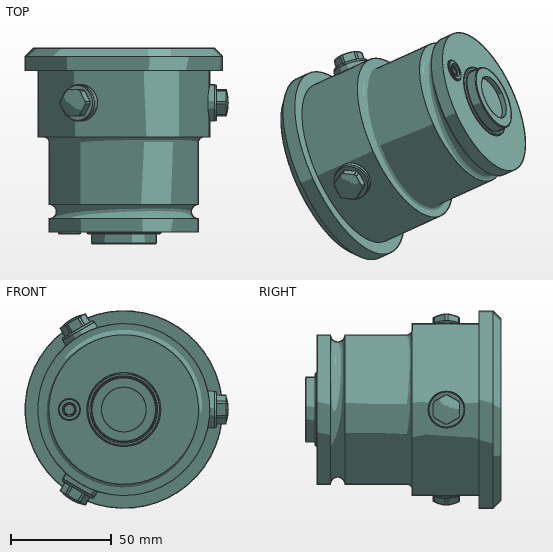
import cadquery as cq
import math


flange_radius = 48.9
flange_depth = 11.1
flange_chamfer = 4.0
shoulder_radius = 42.6
shoulder_depth = 44.1
body_radius = 37.1
neck_fillet = 2.4
groove_start = 77.4
groove_radius = 3.5
nose_depth = 91.1

boss_radius = 16.1
boss_depth = 97.0
boss_chamfer = 0.4
recess_radius = 11.1
recess_depth = 2.5
ring_outer_radius = 18.3
ring_height = 1.0
ring_outer_chamfer = 0.6
ring_inner_chamfer = 0.6

pin_radius = 4.98
pin_offset = 19.1
pin_length = 5.0

bush_x = -27.0
bush_radius = 5.4
bush_height = 1.0
bush_chamfer = 0.4
bush_bore_radius = 2.5
bush_bore_depth = 3.0
bush_mouth_radius = 2.8
bush_mouth_depth = 1.2
bush_countersink = 0.6

plug_depth = 27.1
plug_angles = (0, 120, 240)
plug_root = 35.2
collar_radius = 9.1
collar_seat_radius = 8.7
collar_edge_end = 44.8
collar_end = 45.9
hex_across_flats = 13.1
hex_corner_radius = 7.2
hex_end = 50.6
plug_tip = 51.8


def nose_disc(radius, from_depth, to_depth, x=0, z=0):
    """Cylinder along the housing axis between two depths."""
    plane = cq.Workplane("XZ", origin=(x, -from_depth, z))
    return plane.circle(radius).extrude(to_depth - from_depth)


def make_housing():
    groove_end = groove_start + 2 * groove_radius
    groove_middle = groove_start + groove_radius
    fillet_shift = neck_fillet * (1 - math.sqrt(0.5))
    profile = (
        cq.Workplane("XY")
        .moveTo(0, 0)
        .lineTo(flange_radius - flange_chamfer, 0)
        .lineTo(flange_radius, -flange_chamfer)
        .lineTo(flange_radius, -flange_depth)
        .lineTo(shoulder_radius, -flange_depth)
        .lineTo(shoulder_radius, -shoulder_depth)
        .lineTo(body_radius + neck_fillet, -shoulder_depth)
        .threePointArc(
            (body_radius + fillet_shift, -shoulder_depth - fillet_shift),
            (body_radius, -shoulder_depth - neck_fillet),
        )
        .lineTo(body_radius, -groove_start)
        .threePointArc((body_radius - groove_radius, -groove_middle), (body_radius, -groove_end))
        .lineTo(body_radius, -nose_depth)
        .lineTo(0, -nose_depth)
        .close()
    )
    return profile.revolve(360, (0, 0, 0), (0, 1, 0))


def add_boss(part):
    ring_end = nose_depth + ring_height
    ring = nose_disc(ring_outer_radius, nose_depth, ring_end).faces("<Y").chamfer(ring_outer_chamfer)
    ring = ring.cut(nose_disc(boss_radius, nose_depth, ring_end))
    bore_rim = ring.faces("<Y").edges(cq.selectors.RadiusNthSelector(0))
    ring = bore_rim.chamfer(ring_inner_chamfer)
    boss = nose_disc(boss_radius, nose_depth, boss_depth).faces("<Y").chamfer(boss_chamfer)
    recess = nose_disc(recess_radius, boss_depth - recess_depth, boss_depth)
    return part.union(ring).union(boss).cut(recess)


def add_bush(part):
    bush_end = nose_depth + bush_height
    bush = nose_disc(bush_radius, nose_depth, bush_end, bush_x).faces("<Y").chamfer(bush_chamfer)
    bore = nose_disc(bush_bore_radius, bush_end - bush_bore_depth, bush_end, bush_x)
    mouth = nose_disc(bush_mouth_radius, bush_end - bush_mouth_depth, bush_end, bush_x)
    countersink = cq.Workplane(
        cq.Solid.makeCone(
            bush_mouth_radius + bush_countersink,
            bush_mouth_radius,
            bush_countersink,
            pnt=cq.Vector(bush_x, -bush_end, 0),
            dir=cq.Vector(0, 1, 0),
        )
    )
    return part.union(bush).cut(bore).cut(mouth).cut(countersink)


def make_plug():
    """Plug pointing to +X: a collar with a bevelled edge, then a domed hexagon."""
    axis_start = (0, 0, 0)
    axis_end = (1, 0, 0)
    collar = (
        cq.Workplane("XY")
        .moveTo(plug_root, 0)
        .lineTo(plug_root, collar_radius)
        .lineTo(collar_edge_end, collar_radius)
        .lineTo(collar_end, collar_seat_radius)
        .lineTo(collar_end, 0)
        .close()
        .revolve(360, axis_start, axis_end)
    )
    dome_height = plug_tip - hex_end
    dome_radius = (hex_corner_radius**2 + dome_height**2) / (2 * dome_height)
    dome_middle_radius = hex_corner_radius / 2
    dome_middle = plug_tip - dome_radius + math.sqrt(dome_radius**2 - dome_middle_radius**2)
    envelope = (
        cq.Workplane("XY")
        .moveTo(plug_root, 0)
        .lineTo(plug_root, hex_corner_radius)
        .lineTo(hex_end, hex_corner_radius)
        .threePointArc((dome_middle, dome_middle_radius), (plug_tip, 0))
        .close()
        .revolve(360, axis_start, axis_end)
    )
    across_corners = hex_across_flats / math.cos(math.radians(30))
    hexagon = (
        cq.Workplane("YZ", origin=(plug_root, 0, 0))
        .transformed(rotate=(0, 0, 90))
        .polygon(6, across_corners)
        .extrude(plug_tip - plug_root)
    )
    return collar.union(hexagon.intersect(envelope))


def add_plugs(part):
    plug = make_plug().translate((0, -plug_depth, 0))
    for angle in plug_angles:
        part = part.union(plug.rotate((0, 0, 0), (0, 1, 0), angle))
    return part


def add_flush_pins(part):
    """Pins end level with the nose face; the faces stay unmerged so that their rims remain."""
    for x in (-pin_offset, pin_offset):
        for z in (-pin_offset, pin_offset):
            pin = nose_disc(pin_radius, nose_depth - pin_length, nose_depth, x, z)
            part = part.union(pin, clean=False)
    return part


result = make_housing()
result = add_boss(result)
result = add_bush(result)
result = add_plugs(result)
result = add_flush_pins(result)